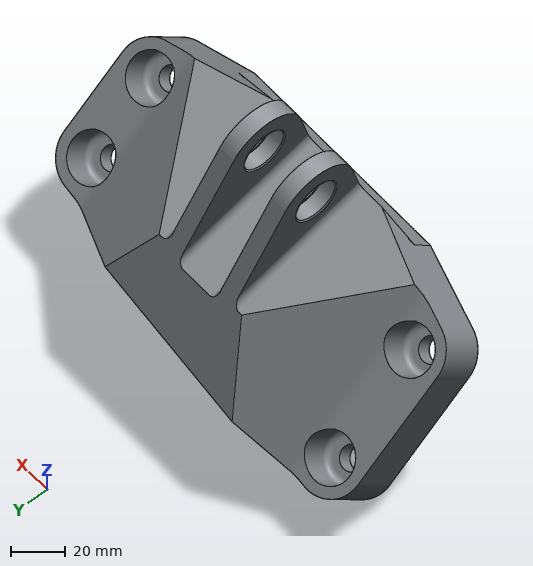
import cadquery as cq
import math

TILT = 41.6
FAR = 200.0

HOLE_X = 74.03
CORNER_R = 15.24
LEFT_FRONT_Y = 26.0
LEFT_PITCH = 51.8
RIGHT_FRONT_Y = 21.3
RIGHT_PITCH = 38.175
FRONT_LEFT_X = -45.5
FRONT_RIGHT_X = 51.9

FRONT_HEIGHT = 11.525
PLATE_HEIGHT = 23.25
REAR_SLOPE = 15.85
SHELF_SLOPE = 25.15
SHELF_REAR_Y = 53.1
SHELF_REAR_Z = 48.8
SIDE_SLOPE = 30.0
SIDE_FOOT_X = 67.0
SIDE_FOOT_R = 12.7

PIN_Y = 2.46
PIN_Z = 44.6
LUG_R = 17.78
LUG_OUTER_X = 18.15
LUG_GAP = 20.925
LUG_ROOT_R = 3.175
GAP_DEPTH = 2.5
PIN_DIAMETER = 19.11
PIN_CHAMFER = 0.55

CBORE_DIAMETER = 21.08
CBORE_DEPTH = 15.4
CBORE_FLOOR_R = 2.54
LEFT_FRONT_BOLT_DIAMETER = 10.67
BOLT_DIAMETER = 10.31


def tangent_slope(corner_x, hole_x, hole_y):
    """Angle from X of the line through a front corner that touches the outline round of a hole."""
    run = abs(hole_x - corner_x)
    return math.atan2(hole_y, run) - math.asin(CORNER_R / math.hypot(run, hole_y))


def outline_prism():
    """Base outline, its front sides carried on to the point where they would meet."""
    side_x = HOLE_X + CORNER_R
    left_rise = math.tan(tangent_slope(FRONT_LEFT_X, -HOLE_X, LEFT_FRONT_Y))
    right_rise = math.tan(tangent_slope(FRONT_RIGHT_X, HOLE_X, RIGHT_FRONT_Y))
    nose_x = (left_rise * FRONT_LEFT_X + right_rise * FRONT_RIGHT_X) / (left_rise + right_rise)
    nose_y = left_rise * (FRONT_LEFT_X - nose_x)

    left_rear_y = LEFT_FRONT_Y + LEFT_PITCH
    right_rear_y = RIGHT_FRONT_Y + RIGHT_PITCH
    rear_angle = math.atan2(right_rear_y - left_rear_y, 2 * HOLE_X)
    rear_mid_y = (left_rear_y + right_rear_y) / 2 + CORNER_R / math.cos(rear_angle)
    rear_drop = side_x * math.tan(rear_angle)

    corners = [
        (nose_x, nose_y),
        (side_x, right_rise * (side_x - FRONT_RIGHT_X)),
        (side_x, rear_mid_y + rear_drop),
        (-side_x, rear_mid_y - rear_drop),
        (-side_x, left_rise * (side_x + FRONT_LEFT_X)),
    ]
    prism = cq.Workplane("XY").polyline(corners).close().extrude(FAR)
    for flank_x in (-side_x, side_x):
        flank = cq.selectors.BoxSelector((flank_x - 1, -FAR, 0), (flank_x + 1, FAR, FAR))
        prism = prism.edges("|Z").edges(flank).fillet(CORNER_R)
    return prism


def on_lug(angle):
    """Point on the lug round at an angle from Y about the pin axis."""
    return (PIN_Y + LUG_R * math.cos(angle), PIN_Z + LUG_R * math.sin(angle))


def profile_prism():
    """Side profile: upright front strip, leaning front face, lug round and rear roof."""
    to_strip_y = -PIN_Y
    to_strip_z = FRONT_HEIGHT - PIN_Z
    distance = math.hypot(to_strip_y, to_strip_z)
    front_angle = math.atan2(to_strip_z, to_strip_y) - math.acos(LUG_R / distance)
    rear_angle = math.radians(90 - REAR_SLOPE)
    rear_y, rear_z = on_lug(rear_angle)
    rear_end_y = FAR / 2
    rear_end_z = rear_z - (rear_end_y - rear_y) * math.tan(math.radians(REAR_SLOPE))
    return (
        cq.Workplane("YZ")
        .moveTo(0, 0)
        .lineTo(0, FRONT_HEIGHT)
        .lineTo(*on_lug(front_angle))
        .threePointArc(on_lug(math.pi / 2), (rear_y, rear_z))
        .lineTo(rear_end_y, rear_end_z)
        .lineTo(rear_end_y, 0)
        .close()
        .extrude(FAR / 2, both=True)
    )


def along_shelf(tool, depth):
    """Set a tool resting on Z = 0 onto the sloping shelf, sunk by the given depth."""
    return (
        tool.translate((0, 0, -depth))
        .rotate((0, 0, 0), (1, 0, 0), SHELF_SLOPE)
        .translate((0, SHELF_REAR_Y, SHELF_REAR_Z))
    )


def lug_gap_tool():
    """Space between the lugs, rounded along both sides of its floor."""
    tool = cq.Workplane("XY").box(LUG_GAP, 2 * FAR, FAR, centered=(True, True, False))
    return along_shelf(tool.edges("|Y and <Z").fillet(LUG_ROOT_R), GAP_DEPTH)


def shelf_tool(side):
    """Space above the shelf on one side (-1 or 1) of the lugs, rounded at the lug root."""
    tool = cq.Workplane("XY").box(FAR, 2 * FAR, FAR, centered=(True, True, False))
    tool = tool.edges("|Y and <Z").fillet(LUG_ROOT_R)
    return along_shelf(tool.translate((side * (LUG_OUTER_X + FAR / 2), 0, 0)), 0)


def side_roof_tool(side):
    """Space above one flange and its sloping roof, with a round at the foot of the roof."""
    roof_top_z = PLATE_HEIGHT + (SIDE_FOOT_X - LUG_OUTER_X) * math.tan(math.radians(SIDE_SLOPE))
    tool = (
        cq.Workplane("XZ")
        .polyline([
            (side * FAR, PLATE_HEIGHT),
            (side * SIDE_FOOT_X, PLATE_HEIGHT),
            (side * LUG_OUTER_X, roof_top_z),
            (side * LUG_OUTER_X, FAR),
            (side * FAR, FAR),
        ])
        .close()
        .extrude(FAR, both=True)
    )
    foot = cq.selectors.NearestToPointSelector((side * SIDE_FOOT_X, 0, PLATE_HEIGHT))
    return tool.edges("|Y").edges(foot).fillet(SIDE_FOOT_R)


def bolt_tool(x, y, diameter):
    """Bolt hole with a counterbore whose floor has a rounded corner."""
    floor_z = PLATE_HEIGHT - CBORE_DEPTH
    counterbore = cq.Workplane("XY", origin=(x, y, floor_z)).circle(CBORE_DIAMETER / 2).extrude(FAR)
    counterbore = counterbore.edges("<Z").fillet(CBORE_FLOOR_R)
    hole = cq.Workplane("XY", origin=(x, y, 0)).circle(diameter / 2).extrude(FAR)
    return counterbore.union(hole)


def pin_tool():
    """Pin hole through both lugs."""
    return (
        cq.Workplane("YZ", origin=(0, PIN_Y, PIN_Z))
        .circle(PIN_DIAMETER / 2)
        .extrude(FAR, both=True)
    )


lug_strip_width = 2 * (LUG_OUTER_X + LUG_ROOT_R)
lug_strip = cq.Workplane("XY").box(lug_strip_width, SHELF_REAR_Y * 2, FAR, centered=(True, True, False))
body = profile_prism().intersect(outline_prism().union(lug_strip))

body = body.cut(lug_gap_tool())
for side in (-1, 1):
    body = body.cut(shelf_tool(side)).cut(side_roof_tool(side))

body = body.cut(pin_tool())
rim_box = cq.selectors.BoxSelector(
    (-LUG_OUTER_X - 1, PIN_Y - 1, PIN_Z - 1),
    (LUG_OUTER_X + 1, PIN_Y + 1, PIN_Z + 1),
)
body = body.edges(rim_box).chamfer(PIN_CHAMFER)

bolts = [
    (-HOLE_X, LEFT_FRONT_Y, LEFT_FRONT_BOLT_DIAMETER),
    (-HOLE_X, LEFT_FRONT_Y + LEFT_PITCH, BOLT_DIAMETER),
    (HOLE_X, RIGHT_FRONT_Y, BOLT_DIAMETER),
    (HOLE_X, RIGHT_FRONT_Y + RIGHT_PITCH, BOLT_DIAMETER),
]
for bolt_x, bolt_y, bolt_diameter in bolts:
    body = body.cut(bolt_tool(bolt_x, bolt_y, bolt_diameter))

result = body.rotate((0, 0, 0), (1, 0, 0), -TILT)